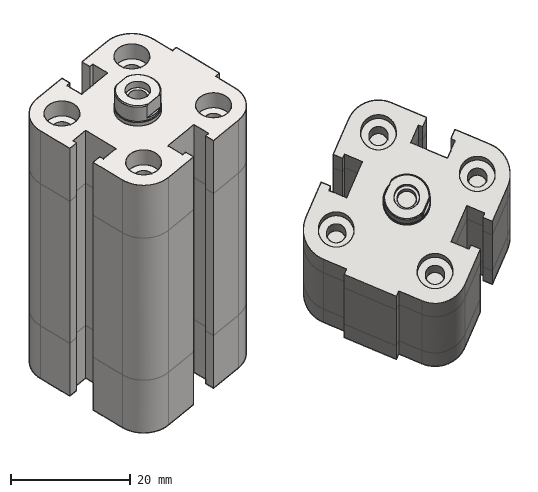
import cadquery as cq

total_height = 62.5
housing_height = 58.0
cap_height = 12.4

housing_width = 29.0
corner_radius = 5.5
rib_width = 9.5
rib_height = 1.0

slot_depth = 5.0
slot_width = 6.7
slot_mouth_width = 5.1
slot_lip = 1.75
slot_angles = (0, 90, 180)

screw_offset = housing_width / 2 - corner_radius
screw_hole_diameter = 3.25
counterbore_diameter = 6.0
screw_hole_depth = 10.0
counterbore_depth = 3.5

collar_diameter = 8.0
collar_height = 1.0
collar_taper_height = 0.2
rod_diameter = 7.8
rod_edge_chamfer = 0.2
flat_distance = 7.0
flat_height = 3.0
bore_diameter = 3.25
bore_mouth_diameter = 4.25
bore_mouth_depth = 1.5
bore_depth = 3.75


def slot_cutter(angle, height):
    """T-shaped slot with its mouth on the -X side, turned about Z by the angle."""
    side = -housing_width / 2
    mouth = cq.Workplane("XY").box(slot_depth, slot_mouth_width, height, centered=(False, True, False))
    pocket = (
        cq.Workplane("XY")
        .box(slot_depth - slot_lip, slot_width, height, centered=(False, True, False))
        .translate((slot_lip, 0, 0))
    )
    return mouth.union(pocket).translate((side, 0, 0)).rotate((0, 0, 0), (0, 0, 1), angle)


def housing_section(height):
    """Length of the slotted profile standing on Z = 0."""
    section = (
        cq.Workplane("XY")
        .box(housing_width, housing_width, height, centered=(True, True, False))
        .edges("|Z")
        .fillet(corner_radius)
    )
    rib_reach = housing_width / 2 + rib_height
    section = section.union(
        cq.Workplane("XY").box(rib_width, rib_reach, height, centered=(True, False, False))
    )
    for angle in slot_angles:
        section = section.cut(slot_cutter(angle, height))
    return section


def screw_hole_cutter(x, y):
    """Blind counterbored hole from the top face."""
    top = cq.Workplane("XY", origin=(x, y, housing_height))
    hole = top.circle(screw_hole_diameter / 2).extrude(-screw_hole_depth)
    return hole.union(top.circle(counterbore_diameter / 2).extrude(-counterbore_depth))


def make_housing():
    """Bottom cap, barrel and top cap as one solid, keeping the seams between their side faces."""
    barrel_height = housing_height - 2 * cap_height
    barrel = housing_section(barrel_height).translate((0, 0, cap_height))
    top_cap = housing_section(cap_height).translate((0, 0, housing_height - cap_height))
    housing = housing_section(cap_height).union(barrel, clean=False).union(top_cap, clean=False)

    for x in (-screw_offset, screw_offset):
        for y in (-screw_offset, screw_offset):
            housing = housing.cut(screw_hole_cutter(x, y), clean=False)
    return housing


def make_rod():
    """Rod end with a base collar, standing on the housing's top face."""
    rod_radius = rod_diameter / 2
    collar_radius = collar_diameter / 2
    collar_top = housing_height + collar_height
    rod = (
        cq.Workplane("XZ")
        .moveTo(0, housing_height)
        .lineTo(collar_radius, housing_height)
        .lineTo(collar_radius, collar_top - collar_taper_height)
        .lineTo(rod_radius, collar_top)
        .lineTo(rod_radius, total_height - rod_edge_chamfer)
        .lineTo(rod_radius - rod_edge_chamfer, total_height)
        .lineTo(0, total_height)
        .close()
        .revolve()
    )

    flat_cutters = (
        cq.Workplane("XY", origin=(0, 0, total_height - flat_height))
        .rect(collar_diameter, collar_diameter)
        .rect(flat_distance, rod_diameter)
        .extrude(flat_height)
    )
    return (
        rod.cut(flat_cutters)
        .faces(">Z")
        .workplane(origin=(0, 0, total_height))
        .cboreHole(bore_diameter, bore_mouth_diameter, bore_mouth_depth, bore_depth)
    )


housing = make_housing()
rod = make_rod()
result = cq.Compound.makeCompound([housing.val(), rod.val()])